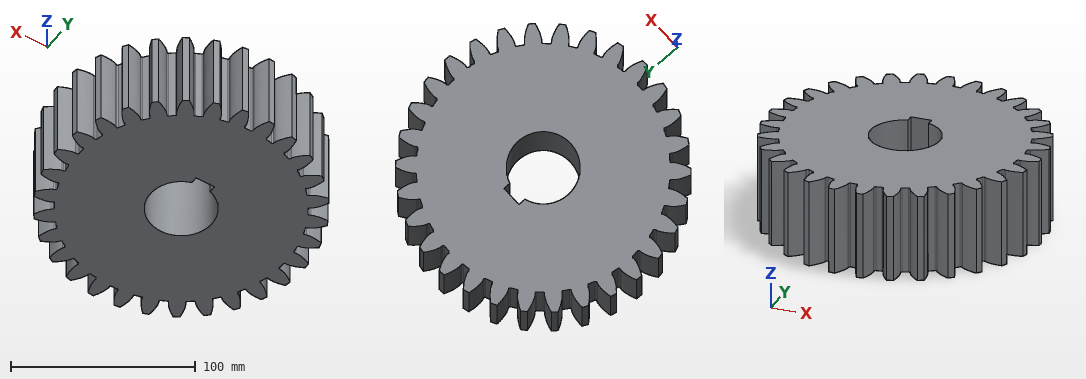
import cadquery as cq
import math

tooth_count = 30
outer_diameter = 160.0
module = outer_diameter / (tooth_count + 2)
pressure_angle = math.radians(20)
face_width = 10 * module
root_fillet = 0.8

bore_diameter = 40.0
keyway_width = 12.0
keyway_depth = 3.4

clearance = 0.25 * module
tip_radius = outer_diameter / 2
pitch_radius = module * tooth_count / 2
base_radius = pitch_radius * math.cos(pressure_angle)
root_radius = pitch_radius - module - clearance
flank_steps = 8

pitch_angle = 2 * math.pi / tooth_count
involute_at_pitch = math.tan(pressure_angle) - pressure_angle
base_half_angle = pitch_angle / 4 + involute_at_pitch

first_tooth_angle = math.pi / 2 + base_half_angle

fillet_center_radius = root_radius + root_fillet
fillet_angle = math.asin(root_fillet / fillet_center_radius)
fillet_top_radius = fillet_center_radius * math.cos(fillet_angle)


def polar(radius, angle):
    return (radius * math.cos(angle), radius * math.sin(angle))


def flank_point(center_angle, side, roll):
    """Involute point; side is -1 or +1 and roll is the unwound angle of the base circle."""
    radius = base_radius * math.hypot(1, roll)
    half_angle = base_half_angle - (roll - math.atan(roll))
    return polar(radius, center_angle + side * half_angle)


def fillet_middle(center_angle, side):
    """Point halfway along the root fillet arc, between the flank foot and the root circle."""
    foot_angle = center_angle + side * base_half_angle
    center_x, center_y = polar(fillet_center_radius, foot_angle + side * fillet_angle)
    direction = foot_angle + side * (fillet_angle / 2 - 3 * math.pi / 4)
    return (center_x + root_fillet * math.cos(direction), center_y + root_fillet * math.sin(direction))


def add_tooth(outline, center_angle):
    """Continue the outline counterclockwise over one tooth and along the gap that follows it."""
    tip_roll = math.sqrt((tip_radius / base_radius) ** 2 - 1)
    rolls = [tip_roll * step / flank_steps for step in range(flank_steps + 1)]
    rising_flank = [flank_point(center_angle, -1, roll) for roll in rolls]
    falling_flank = [flank_point(center_angle, 1, roll) for roll in reversed(rolls)]
    foot_start = center_angle - base_half_angle
    foot_end = center_angle + base_half_angle
    next_root_start = center_angle + pitch_angle - base_half_angle - fillet_angle
    gap_middle = center_angle + pitch_angle / 2

    outline = outline.threePointArc(fillet_middle(center_angle, -1), polar(fillet_top_radius, foot_start))
    outline = outline.lineTo(*rising_flank[0])
    outline = outline.spline(rising_flank[1:], includeCurrent=True)
    outline = outline.threePointArc(polar(tip_radius, center_angle), falling_flank[0])
    outline = outline.spline(falling_flank[1:], includeCurrent=True)
    outline = outline.lineTo(*polar(fillet_top_radius, foot_end))
    outline = outline.threePointArc(
        fillet_middle(center_angle, 1), polar(root_radius, foot_end + fillet_angle)
    )
    return outline.threePointArc(polar(root_radius, gap_middle), polar(root_radius, next_root_start))


def make_toothed_blank():
    root_start = first_tooth_angle - base_half_angle - fillet_angle
    outline = cq.Workplane("XY").moveTo(*polar(root_radius, root_start))
    for tooth in range(tooth_count):
        outline = add_tooth(outline, first_tooth_angle + tooth * pitch_angle)
    return outline.close().extrude(face_width)


def make_keyed_bore():
    """Cutter for the through bore with its keyway on the +Y side."""
    bore = cq.Workplane("XY").circle(bore_diameter / 2).extrude(face_width)
    keyway_top = bore_diameter / 2 + keyway_depth
    keyway = (
        cq.Workplane("XY")
        .rect(keyway_width, keyway_top, centered=(True, False))
        .extrude(face_width)
    )
    return bore.union(keyway)


result = make_toothed_blank().cut(make_keyed_bore())